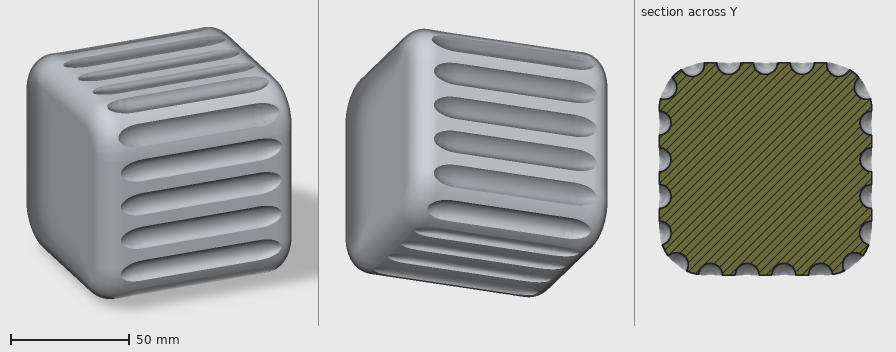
import cadquery as cq
import math

SIZE = 90.0
SIDE_EDGE_RADIUS = 20.0
END_EDGE_RADIUS = 10.0

GROOVE_COUNT = 21
GROOVE_RADIUS = 5.0
GROOVE_STRAIGHT_LENGTH = 54.0
GROOVE_END_LENGTH = 10.0

HALF_SIZE = SIZE / 2
HALF_FLAT = HALF_SIZE - SIDE_EDGE_RADIUS
FLAT_LENGTH = 2 * HALF_FLAT
CORNER_LENGTH = SIDE_EDGE_RADIUS * math.pi / 2
QUARTER_LENGTH = FLAT_LENGTH + CORNER_LENGTH
SIDE_COUNT = 4
FULL_TURN = 360.0
QUARTER_TURN = FULL_TURN / SIDE_COUNT
GROOVE_PITCH = SIDE_COUNT * QUARTER_LENGTH / GROOVE_COUNT


def make_block():
    """Cube with large rounds along Y and smaller rounds round both Y ends."""
    block = cq.Workplane("XY").box(SIZE, SIZE, SIZE)
    block = block.edges("|Y").fillet(SIDE_EDGE_RADIUS)
    return block.faces("<Y or >Y").edges().fillet(END_EDGE_RADIUS)


def make_groove_cutter():
    """Round bar along Y centred on the top face, with half-ellipsoid ends."""
    half_straight = GROOVE_STRAIGHT_LENGTH / 2
    tip = half_straight + GROOVE_END_LENGTH
    profile = (
        cq.Workplane("YZ", origin=(0, 0, HALF_SIZE))
        .moveTo(tip, 0)
        .ellipseArc(GROOVE_END_LENGTH, GROOVE_RADIUS, 0, 90)
        .lineTo(-half_straight, GROOVE_RADIUS)
        .ellipseArc(GROOVE_END_LENGTH, GROOVE_RADIUS, 90, 180)
        .close()
    )
    return profile.revolve(FULL_TURN, (0, 0), (1, 0))


def place_on_outline(cutter, distance):
    """Move a top-centre cutter by a distance along the outline, from top centre toward +X."""
    from_flat_start = distance + HALF_FLAT
    quarter = math.floor(from_flat_start / QUARTER_LENGTH)
    along = from_flat_start - quarter * QUARTER_LENGTH
    flat_travel = min(along, FLAT_LENGTH)
    corner_angle = math.degrees((along - flat_travel) / SIDE_EDGE_RADIUS)

    placed = cutter.translate((flat_travel - HALF_FLAT, 0, 0))
    corner_start = (HALF_FLAT, 0, HALF_FLAT)
    corner_end = (HALF_FLAT, 1, HALF_FLAT)
    if corner_angle > 0:
        placed = placed.rotate(corner_start, corner_end, corner_angle)
    return placed.rotate((0, 0, 0), (0, 1, 0), quarter * QUARTER_TURN)


result = make_block()
groove_cutter = make_groove_cutter()
for index in range(GROOVE_COUNT):
    result = result.cut(place_on_outline(groove_cutter, index * GROOVE_PITCH))